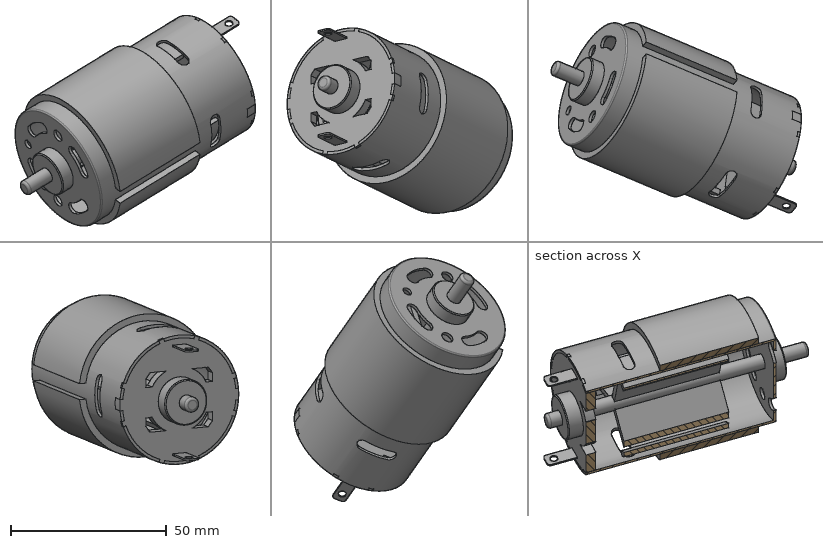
import cadquery as cq
import math


can_dia = 42.4
can_bore_dia = 40.4
can_length = 65.9
can_edge_radius = 0.45
wall = (can_dia - can_bore_dia) / 2

boss_dia = 15.0
boss_edge_chamfer = 0.4
front_boss_length = 4.5
rear_boss_length = 5.15

front_hole_radius = 14.55
mount_hole_dia = 4.0
locating_hole_dia = 3.0
kidney_width = 4.0
kidney_span = 30
kidney_angles = (45, 135, 225, 315)

vent_length = 13.8
vent_width = 3.9
vent_y = 49.2

crimp_angle = 17.5
crimp_width = 1.8
crimp_depth = 0.9
long_key_width = 3.7
long_key_depth = 3.4

cap_thickness = long_key_depth
cap_front_y = can_length - cap_thickness
window_outer_x = 11.8
window_outer_z = 9.8
window_inner_z = 5.0
window_inner_dia = 21.7
window_outer_dia = 28.4

ring_dia = 46.9
ring_front_y = 6.15
ring_rear_y = 40.3
ring_gap = 5.2

shaft_dia = 5.0
shaft_front_y = -14.4
shaft_rear_y = 75.8
shaft_edge_radius = 0.9

rotor_dia = 36.7
rotor_tip_inner_dia = 33.1
rotor_front_y = 16.45
rotor_rear_y = 52.8
tooth_web = 2.0
tooth_tip_span = 37.6
tooth_angles = (105, 225, 345)

terminal_rear_y = 76.0
terminal_width = 4.7
terminal_thickness = 0.5
terminal_z = 17.8
terminal_corner_radius = 1.1
terminal_hole_dia = 2.5
terminal_hole_setback = 2.9


def profile_at(y):
    """Sketch plane across the motor axis, with local X and Y along the part's X and Z."""
    return cq.Workplane("XZ", origin=(0, y, 0))


def cylinder(dia, y_start, y_end):
    return profile_at(y_start).circle(dia / 2).extrude(y_start - y_end)


def turned(body, angle):
    """Turn a body about the motor axis, from +X towards +Z."""
    return body.rotate((0, 0, 0), (0, -1, 0), angle)


def polar(radius, angle):
    return radius * math.cos(math.radians(angle)), radius * math.sin(math.radians(angle))


def kidney(angle):
    """Arc slot through the front plate, centred on the given angle."""
    half = kidney_span / 2
    inner = front_hole_radius - kidney_width / 2
    outer = front_hole_radius + kidney_width / 2
    tip = front_hole_radius
    tip_turn = math.degrees(kidney_width / 2 / tip)
    return (
        profile_at(0)
        .moveTo(*polar(inner, angle - half))
        .threePointArc(polar(inner, angle), polar(inner, angle + half))
        .threePointArc(polar(tip, angle + half + tip_turn), polar(outer, angle + half))
        .threePointArc(polar(outer, angle), polar(outer, angle - half))
        .threePointArc(polar(tip, angle - half - tip_turn), polar(inner, angle - half))
        .close()
        .extrude(-wall)
    )


def rim_key(angle, width, depth):
    """Block that spans the can wall at its rear rim."""
    ring = cylinder(can_dia, can_length - depth, can_length)
    ring = ring.cut(cylinder(can_bore_dia, can_length - depth, can_length))
    block = cq.Workplane("XY").box(can_dia, depth, width, centered=(False, False, True))
    block = block.translate((0, can_length - depth, 0))
    return ring.intersect(turned(block, angle))


def rim_keys():
    keys = [rim_key(angle, long_key_width, long_key_depth) for angle in (0, 180)]
    for quarter in (0, 90, 180, 270):
        for offset in (-crimp_angle, crimp_angle):
            keys.append(rim_key(quarter + offset, crimp_width, crimp_depth))
    return keys


def make_can():
    can = cylinder(can_dia, 0, can_length).faces("<Y").edges().fillet(can_edge_radius)
    boss = cylinder(boss_dia, 0, -front_boss_length).faces("<Y").edges().chamfer(boss_edge_chamfer)
    can = can.union(boss)
    can = can.cut(cylinder(can_bore_dia, wall, can_length))
    can = can.cut(cylinder(shaft_dia, -front_boss_length, wall))

    mount_holes = [(0, front_hole_radius), (0, -front_hole_radius)]
    can = can.cut(profile_at(0).pushPoints(mount_holes).circle(mount_hole_dia / 2).extrude(-wall))
    locating_hole = profile_at(0).center(-front_hole_radius, 0).circle(locating_hole_dia / 2)
    can = can.cut(locating_hole.extrude(-wall))
    for angle in kidney_angles:
        can = can.cut(kidney(angle))

    vent_plane = cq.Workplane("XY", origin=(0, vent_y, 0))
    vents = vent_plane.slot2D(vent_length, vent_width).extrude(can_dia / 2, both=True)
    can = can.cut(vents).cut(turned(vents, 90))
    for key in rim_keys():
        can = can.cut(key)
    return can


def make_end_cap():
    """Disc with a bearing boss, four windows and keys around its rim."""
    cap = cylinder(can_bore_dia, cap_front_y, can_length)
    boss_end_y = can_length + rear_boss_length
    boss = cylinder(boss_dia, can_length, boss_end_y).faces(">Y").edges().chamfer(boss_edge_chamfer)
    cap = cap.union(boss).cut(cylinder(shaft_dia, cap_front_y, boss_end_y))

    ring = cylinder(window_outer_dia, cap_front_y, can_length)
    ring = ring.cut(cylinder(window_inner_dia, cap_front_y, can_length))
    band_height = window_outer_z - window_inner_z
    band_centres = [(0, window_inner_z + band_height / 2), (0, -window_inner_z - band_height / 2)]
    bands = profile_at(cap_front_y).pushPoints(band_centres).rect(2 * window_outer_x, band_height)
    cap = cap.cut(bands.extrude(-cap_thickness).intersect(ring))
    for key in rim_keys():
        cap = cap.union(key)
    return cap


def make_ring():
    ring = cylinder(ring_dia, ring_front_y, ring_rear_y)
    ring = ring.cut(cylinder(can_dia, ring_front_y, ring_rear_y))
    gap = cq.Workplane("XY").box(
        ring_dia, ring_rear_y - ring_front_y, ring_gap, centered=(False, False, True)
    )
    return ring.cut(gap.translate((0, ring_front_y, 0)))


def make_tooth(angle):
    """Flat web from the axis outwards, capped by an arc-shaped tip."""
    length = rotor_rear_y - rotor_front_y
    tip_mid_radius = (rotor_tip_inner_dia + rotor_dia) / 4
    web = cq.Workplane("XY").box(tip_mid_radius, length, tooth_web, centered=(False, False, True))
    web = web.translate((0, rotor_front_y, 0))
    half = tooth_tip_span / 2
    inner = rotor_tip_inner_dia / 2
    outer = rotor_dia / 2
    tip = (
        profile_at(rotor_front_y)
        .moveTo(*polar(inner, -half))
        .threePointArc((inner, 0), polar(inner, half))
        .lineTo(*polar(outer, half))
        .threePointArc((outer, 0), polar(outer, -half))
        .close()
        .extrude(-length)
    )
    return turned(web.union(tip), angle)


def make_rotor():
    first, second, third = [make_tooth(angle) for angle in tooth_angles]
    return first.union(second).union(third)


def make_shaft(rotor):
    """Round shaft, slotted where the rotor webs pass through it."""
    shaft = cylinder(shaft_dia, shaft_front_y, shaft_rear_y)
    shaft = shaft.faces("<Y or >Y").edges().fillet(shaft_edge_radius)
    return shaft.cut(rotor)


def make_terminal(z):
    """Flat tab with rounded free corners and a hole, standing on the end cap."""
    length = terminal_rear_y - can_length
    tab = cq.Workplane("XY").box(
        terminal_width, length, terminal_thickness, centered=(True, False, True)
    )
    tab = tab.edges("|Z and >Y").fillet(terminal_corner_radius)
    hole = cq.Workplane("XY").center(0, length - terminal_hole_setback).circle(terminal_hole_dia / 2)
    tab = tab.cut(hole.extrude(terminal_thickness, both=True))
    return tab.translate((0, can_length, z))


can = make_can()
end_cap = make_end_cap()
ring = make_ring()
rotor = make_rotor()
shaft = make_shaft(rotor)
terminals = [make_terminal(z) for z in (terminal_z, -terminal_z)]

bodies = [can, end_cap, ring, rotor, shaft, *terminals]
result = cq.Compound.makeCompound([body.solids().val() for body in bodies])